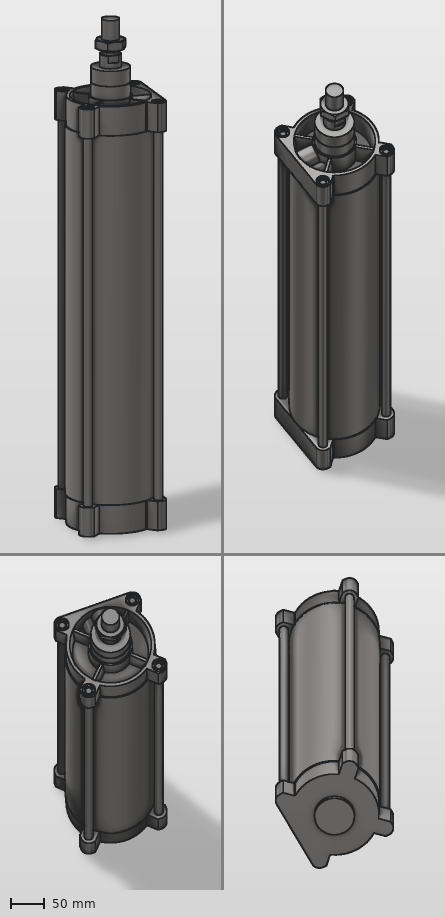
import cadquery as cq
import math

total_height = 785.0
spigot_height = 7.0
cap_height = 45.0
tube_height = 570.0
collar_height = 45.0

rear_cap_z = spigot_height
tube_z = rear_cap_z + cap_height
front_cap_z = tube_z + tube_height
front_cap_top_z = front_cap_z + cap_height
collar_top_z = front_cap_top_z + collar_height

cap_width = 136.0
cap_diameter = 133.0
tube_diameter = 136.0
collar_diameter = 60.0
collar_tip_diameter = 59.0
collar_tip_height = 23.5
lug_diameter = 24.0
lug_flat_length = 5.5
lug_radius = lug_diameter / 2
half_width = cap_width / 2
bolt_offset = half_width - lug_radius
lug_flat_end = bolt_offset - lug_flat_length
bolt_points = [(sx * bolt_offset, sy * bolt_offset) for sx in (-1, 1) for sy in (-1, 1)]

tie_rod_diameter = 13.0
screw_recess_diameter = 20.0
screw_recess_depth = 5.0
screw_head_diameter = 18.0
screw_head_drop = 1.5
screw_bore_diameter = 12.0
screw_bore_depth = 1.5
screw_socket_diameter = 10.0

pocket_diameter = 122.0
pocket_depth = 31.5
pocket_draft = 8.0
hub_diameter = 65.0
hub_draft = 1.0
rib_width = 5.0
rib_drop = 2.0
rib_draft = 5.0
port_boss_diameter = 32.0
port_boss_x = 7.0
port_boss_drop = 3.0
screw_boss_diameter = 19.0
screw_boss_x = -16.0
screw_boss_drop = 16.5

rod_diameter = 32.0
thread_diameter = 27.0
relief_diameter = 25.0
relief_height = 5.0
shoulder_z = 731.0
rod_flat_width = 27.5
rod_flat_height = 11.0
rod_bottom_z = front_cap_z

nut_width = 41.5
nut_height = 14.0
nut_top_z = 753.5
nut_chamfer_angle = 30.0


def cylinder(diameter, bottom_z, height):
    return cq.Workplane("XY").workplane(offset=bottom_z).circle(diameter / 2).extrude(height)


def make_lug(bottom_z):
    """Rounded corner lug in the +X +Y corner, with sides running in at 45 degrees."""
    corner_mid = bolt_offset + lug_radius * math.sqrt(0.5)
    root = half_width - lug_flat_end
    return (
        cq.Workplane("XY").workplane(offset=bottom_z)
        .moveTo(0, root)
        .lineTo(lug_flat_end, half_width)
        .lineTo(bolt_offset, half_width)
        .threePointArc((corner_mid, corner_mid), (half_width, bolt_offset))
        .lineTo(half_width, lug_flat_end)
        .lineTo(root, 0)
        .close().extrude(cap_height)
    )


def make_cap(bottom_z):
    """Round cap with four corner lugs and a flat port side toward +Y."""
    cap = cylinder(cap_diameter, bottom_z, cap_height)
    for quarter in range(4):
        cap = cap.union(make_lug(bottom_z).rotate((0, 0, 0), (0, 0, 1), 90 * quarter))
    port_side = (
        cq.Workplane("XY").workplane(offset=bottom_z)
        .center(0, half_width / 2).rect(2 * bolt_offset, half_width).extrude(cap_height)
    )
    return cap.union(port_side)


def make_lying_boss(diameter, x, drop):
    """Boss along +Y with a round top and straight sides, standing on the pocket floor."""
    radius = diameter / 2
    axis_z = front_cap_top_z - drop - radius
    floor_z = front_cap_top_z - pocket_depth
    barrel = cq.Workplane("XZ", origin=(x, 0, axis_z)).circle(radius).extrude(-pocket_diameter / 2)
    base = cq.Workplane("XY").box(
        diameter, pocket_diameter / 2, axis_z - floor_z, centered=(True, False, False)
    ).translate((x, 0, floor_z))
    return barrel.union(base)


def make_pocket():
    """Void in the front cap, left around the hub, the diagonal ribs and the port bosses."""
    top = cq.Workplane("XY").workplane(offset=front_cap_top_z)
    pocket = top.circle(pocket_diameter / 2).extrude(-pocket_depth, taper=pocket_draft)
    floor_z = front_cap_top_z - pocket_depth
    rib_top_z = front_cap_top_z - rib_drop
    rib_foot = rib_width + 2 * (rib_top_z - floor_z) * math.tan(math.radians(rib_draft))
    rib_section = [
        (-rib_foot / 2, floor_z),
        (rib_foot / 2, floor_z),
        (rib_width / 2, rib_top_z),
        (-rib_width / 2, rib_top_z),
    ]
    rib = cq.Workplane("XZ").polyline(rib_section).close().extrude(pocket_diameter / 2, both=True)
    for angle in (45, -45):
        pocket = pocket.cut(rib.rotate((0, 0, 0), (0, 0, 1), angle))
    pocket = pocket.cut(top.circle(hub_diameter / 2).extrude(-pocket_depth, taper=-hub_draft))
    pocket = pocket.cut(make_lying_boss(port_boss_diameter, port_boss_x, port_boss_drop))
    return pocket.cut(make_lying_boss(screw_boss_diameter, screw_boss_x, screw_boss_drop))


def make_screw_recess():
    """Recess around a tie rod screw head, with the socket in the head."""
    head_height = screw_recess_depth - screw_head_drop
    recess = cylinder(screw_recess_diameter, -screw_recess_depth, screw_recess_depth)
    head = cylinder(screw_head_diameter, -screw_recess_depth, head_height)
    socket = cylinder(screw_socket_diameter, -screw_recess_depth, head_height)
    bore = cylinder(screw_bore_diameter, -screw_head_drop - screw_bore_depth, screw_bore_depth)
    return recess.cut(head).union(socket).union(bore).translate((0, 0, front_cap_top_z))


def make_housing():
    housing = (
        cylinder(collar_diameter, 0, spigot_height)
        .union(make_cap(rear_cap_z))
        .union(cylinder(tube_diameter, tube_z, tube_height))
        .union(make_cap(front_cap_z))
        .cut(make_pocket())
        .union(cylinder(collar_diameter, front_cap_top_z, collar_height - collar_tip_height))
        .union(cylinder(collar_tip_diameter, collar_top_z - collar_tip_height, collar_tip_height))
    )
    for x, y in bolt_points:
        tie_rod = cylinder(tie_rod_diameter, tube_z, tube_height)
        housing = housing.union(tie_rod.translate((x, y, 0)))
        housing = housing.cut(make_screw_recess().translate((x, y, 0)))
    return housing.cut(cylinder(rod_diameter, rod_bottom_z, collar_top_z - rod_bottom_z))


def make_piston_rod():
    """Rod with two wrench flats, a relief groove above the shoulder and a threaded end."""
    rod = cylinder(rod_diameter, rod_bottom_z, shoulder_z - rod_bottom_z)
    flat_z = shoulder_z - rod_flat_height
    keep = cq.Workplane("XY").box(
        rod_flat_width, rod_diameter, rod_flat_height, centered=(True, True, False)
    ).translate((0, 0, flat_z))
    rod = rod.cut(cylinder(rod_diameter, flat_z, rod_flat_height).cut(keep))
    thread_z = shoulder_z + relief_height
    return (
        rod.union(cylinder(relief_diameter, shoulder_z, relief_height))
        .union(cylinder(thread_diameter, thread_z, total_height - thread_z))
    )


def make_nut():
    """Hexagon nut with corners along Y, chamfered by a cone at both ends."""
    corner_radius = nut_width / math.sqrt(3)
    flat_radius = nut_width / 2
    chamfer = (corner_radius - flat_radius) * math.tan(math.radians(nut_chamfer_angle))
    bottom_z = nut_top_z - nut_height
    hexagon = (
        cq.Workplane("XY").polygon(6, 2 * corner_radius).extrude(nut_height)
        .rotate((0, 0, 0), (0, 0, 1), 30).translate((0, 0, bottom_z))
    )
    profile = [
        (0, bottom_z),
        (flat_radius, bottom_z),
        (corner_radius, bottom_z + chamfer),
        (corner_radius, nut_top_z - chamfer),
        (flat_radius, nut_top_z),
        (0, nut_top_z),
    ]
    envelope = cq.Workplane("XZ").polyline(profile).close().revolve(360, (0, 0, 0), (0, 1, 0))
    return hexagon.intersect(envelope).cut(cylinder(thread_diameter, bottom_z, nut_height))


housing = make_housing().solids()
piston_rod = make_piston_rod().solids()
nut = make_nut().solids()

result = cq.Compound.makeCompound([housing.val(), piston_rod.val(), nut.val()])